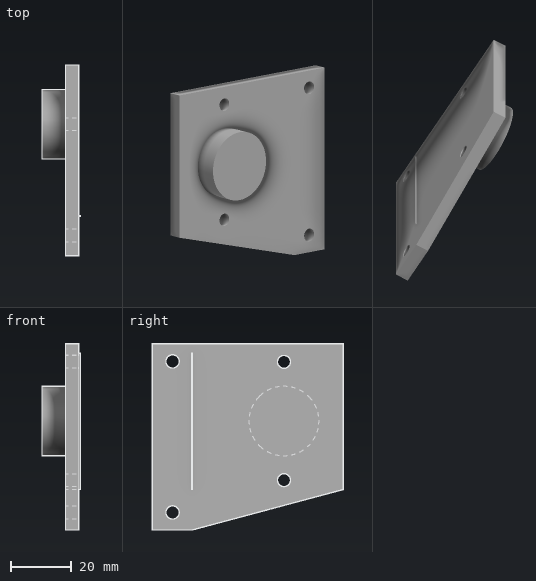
import cadquery as cq
import math

plate_thickness = 4.5
plate_width = 62.99
plate_height = 61.5
bottom_flat_width = 13.1
bottom_slope_angle = 15.0

boss_diameter = 23.0
boss_length = 7.7
boss_to_left_edge = 19.55
boss_to_top_edge = 25.5

boss_hole_diameter = 4.2
boss_hole_spacing = 39.0

edge_hole_diameter = 4.3
edge_hole_inset = 6.7
edge_hole_top_inset = 5.85
edge_hole_spacing = 49.8

rib_height = 0.5
rib_width = 0.4
rib_length = 45.0
rib_inset = 13.15
rib_top_inset = 3.1

left_y = boss_to_left_edge
right_y = left_y - plate_width
top_z = boss_to_top_edge
bottom_z = top_z - plate_height


def make_plate():
    """Rectangular plate with its lower left corner cut away by a shallow slope."""
    slope_end_y = right_y + bottom_flat_width
    slope_rise = (left_y - slope_end_y) * math.tan(math.radians(bottom_slope_angle))
    outline = [
        (left_y, top_z),
        (right_y, top_z),
        (right_y, bottom_z),
        (slope_end_y, bottom_z),
        (left_y, bottom_z + slope_rise),
    ]
    return cq.Workplane("YZ").polyline(outline).close().extrude(plate_thickness)


def make_boss():
    """Solid round boss standing out of the front face."""
    return cq.Workplane("YZ").circle(boss_diameter / 2).extrude(-boss_length)


def make_rib():
    """Thin straight rib on the back face."""
    rib_y = right_y + rib_inset
    rib_z = top_z - rib_top_inset - rib_length / 2
    return (
        cq.Workplane("YZ", origin=(plate_thickness, 0, 0))
        .center(rib_y, rib_z)
        .rect(rib_width, rib_length)
        .extrude(rib_height)
    )


def make_hole_pair(diameter, y, upper_z, spacing):
    """Two through-hole cutters, one straight below the other."""
    centres = [(y, upper_z), (y, upper_z - spacing)]
    return cq.Workplane("YZ").pushPoints(centres).circle(diameter / 2).extrude(plate_thickness)


boss_holes = make_hole_pair(boss_hole_diameter, 0, boss_hole_spacing / 2, boss_hole_spacing)
edge_holes = make_hole_pair(
    edge_hole_diameter,
    right_y + edge_hole_inset,
    top_z - edge_hole_top_inset,
    edge_hole_spacing,
)

result = make_plate().union(make_boss()).union(make_rib()).cut(boss_holes).cut(edge_holes)